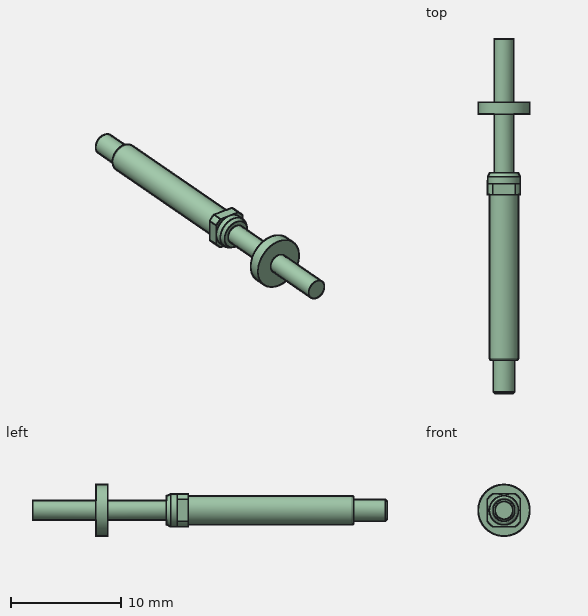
import cadquery as cq

length = 32.1
tip_length = 3.02
barrel_length = 15.0
square_length = 1.0
round_collar_length = 1.0
disc_thickness = 1.1
disc_far_face = 26.4

tip_diameter = 2.0
barrel_diameter = 2.63
collar_diameter = 3.0
square_corner_diameter = 3.6
shaft_diameter = 1.8
disc_diameter = 4.7

tip_chamfer = 0.2
barrel_fillet = 0.2
collar_chamfer_length = 0.4
collar_chamfer_depth = 0.2

barrel_start = tip_length
square_start = barrel_start + barrel_length
round_collar_start = square_start + square_length
shaft_start = round_collar_start + round_collar_length
disc_start = disc_far_face - disc_thickness


def cylinder(diameter, start, height):
    """Cylinder along +Y from the given station."""
    plane = cq.Plane(origin=(0, start, 0), xDir=(1, 0, 0), normal=(0, 1, 0))
    return cq.Workplane(plane).circle(diameter / 2).extrude(height)


def make_tip():
    tip = cylinder(tip_diameter, 0, tip_length)
    return tip.faces("<Y").edges().chamfer(tip_chamfer)


def make_barrel():
    barrel = cylinder(barrel_diameter, barrel_start, barrel_length)
    return barrel.faces("<Y").edges().fillet(barrel_fillet)


def make_square_collar():
    """Four wrench flats on a larger cylinder, which leaves the corners rounded."""
    blank = cylinder(square_corner_diameter, square_start, square_length)
    flats = cq.Workplane("XY").box(collar_diameter, square_length, collar_diameter)
    return blank.intersect(flats.translate((0, square_start + square_length / 2, 0)))


def make_round_collar():
    collar = cylinder(collar_diameter, round_collar_start, round_collar_length)
    return collar.faces(">Y").edges().chamfer(collar_chamfer_length, collar_chamfer_depth)


def make_shaft():
    shaft = cylinder(shaft_diameter, shaft_start, length - shaft_start)
    return shaft.union(cylinder(disc_diameter, disc_start, disc_thickness))


result = (
    make_tip()
    .union(make_barrel())
    .union(make_square_collar())
    .union(make_round_collar())
    .union(make_shaft())
)